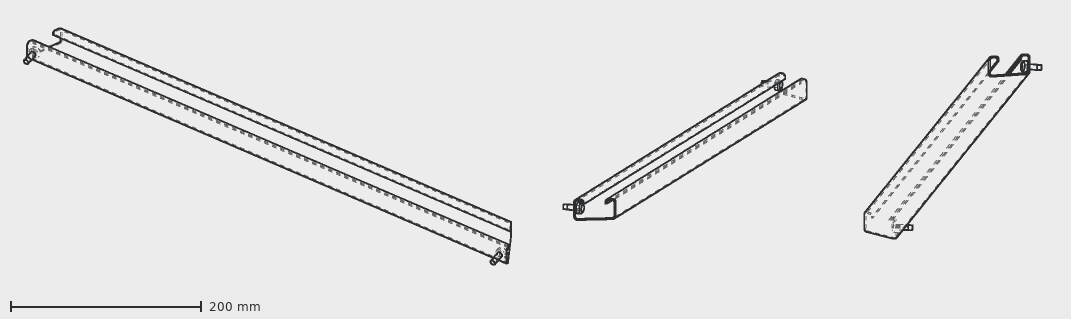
import cadquery as cq

rail_length = 590.0
rail_depth = 40.0
rail_height = 22.5
wall = 1.65
bend_radius = 3.5
lip_width = 10.0
lip_drop = 5.5

square_end_depth = 4.0
end_inset = 18.0

bolt_inset = 7.5
shank_diameter = 6.0
tip_diameter = 5.55
tip_length = 5.0
shank_reach = 14.0
head_diameter = 12.0
head_height = 5.5
head_chamfer = 2.0

bolt_x = rail_length / 2 - bolt_inset
bolt_z = rail_height / 2


def rounded_block(y_min, y_max, z_min, z_max, radius):
    """Full-length bar along X with its four long edges rounded."""
    return (
        cq.Workplane("XY")
        .box(rail_length, y_max - y_min, z_max - z_min)
        .edges("|X")
        .fillet(radius)
        .translate((0, (y_min + y_max) / 2, (z_min + z_max) / 2))
    )


def lip(y_min):
    """Lip tube folded over at the top, cut off at the lip's free edge."""
    y_max = y_min + lip_width
    tube_bottom = rail_height - 2 * lip_drop
    outside = rounded_block(y_min, y_max, tube_bottom, rail_height, bend_radius)
    inside = rounded_block(
        y_min + wall, y_max - wall, tube_bottom + wall, rail_height - wall, bend_radius - wall
    )
    upper_part = cq.Workplane("XY").box(rail_length, lip_width, lip_drop).translate(
        (0, (y_min + y_max) / 2, rail_height - lip_drop / 2)
    )
    return outside.cut(inside).intersect(upper_part)


def channel():
    """Bent floor and walls, open at the top between the two lips."""
    outside = rounded_block(0, rail_depth, 0, rail_height, bend_radius)
    inside = rounded_block(wall, rail_depth - wall, wall, rail_height - wall, bend_radius - wall)
    opening_depth = rail_depth - 2 * lip_width + 2 * bend_radius
    opening = cq.Workplane("XY").box(rail_length, opening_depth, 2 * wall).translate(
        (0, rail_depth / 2, rail_height)
    )
    return outside.cut(inside).cut(opening)


def end_envelope():
    """Plan outline of the rail, with both ends mitred."""
    front_x = rail_length / 2
    back_x = front_x - end_inset
    return (
        cq.Workplane("XY")
        .polyline([
            (-front_x, 0),
            (front_x, 0),
            (front_x, square_end_depth),
            (back_x, rail_depth),
            (-back_x, rail_depth),
            (-front_x, square_end_depth),
        ])
        .close()
        .extrude(rail_height)
    )


def make_rail():
    rail = channel().union(lip(0)).union(lip(rail_depth - lip_width))
    rail = rail.intersect(end_envelope())
    for x in (-bolt_x, bolt_x):
        hole = cq.Workplane("XZ", origin=(x, wall, bolt_z)).circle(shank_diameter / 2).extrude(wall)
        rail = rail.cut(hole)
    return rail


def make_bolt(x):
    """Bolt along Y: chamfered head inside the rail, stepped shank pointing to -Y."""
    head = (
        cq.Workplane("XZ", origin=(x, wall + head_height, bolt_z))
        .circle(head_diameter / 2)
        .extrude(head_height)
        .faces(">Y")
        .chamfer(head_chamfer)
    )
    shank_length = wall + shank_reach - tip_length
    shank = cq.Workplane("XZ", origin=(x, wall, bolt_z)).circle(shank_diameter / 2).extrude(shank_length)
    tip = (
        cq.Workplane("XZ", origin=(x, tip_length - shank_reach, bolt_z))
        .circle(tip_diameter / 2)
        .extrude(tip_length)
    )
    return head.union(shank).union(tip)


rail = make_rail()
bolts = [make_bolt(x) for x in (-bolt_x, bolt_x)]

result = cq.Compound.makeCompound([rail.val(), *[bolt.val() for bolt in bolts]])